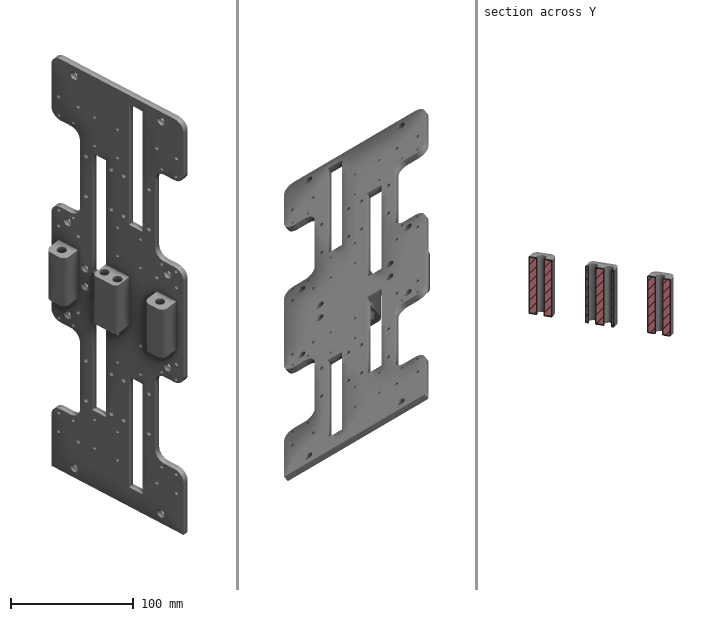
import cadquery as cq

plate_width = 140.0
plate_height = 433.0
plate_thickness = 5.0
total_depth = 22.0
plate_top = plate_height / 2
plate_bottom = -plate_top
waist_width = 79.5
middle_pad_half_height = 60.5
end_pad_inner_z = 152.0
corner_radius = 10.0

slot_width = 14.5
slot_x = 19.5
left_slot_end_z = 135.0
bridge_bottom = -20.5
bridge_top = 10.0
right_slot_inner_z = 80.0
right_slot_top_z = 207.0
right_slot_bottom_z = -196.0

large_hole = 8.0
medium_hole = 4.5
pad_hole = 3.7
fine_hole = 3.0

end_hole_x = 46.0
end_hole_z = 206.5
middle_pad_hole_x = 53.0
middle_pad_hole_z = 49.0
block_side_hole_x = 34.5
block_side_hole_z = 9.5
spine_hole_xs = [6.5, 33.5]
spine_hole_zs = [86.5, 128.5]
pad_hole_xs = [41.5, 62.5]
pad_hole_zs = [40.3, 176.2]
corner_hole_xs = [46.8, 62.0]
corner_hole_zs = [56.7, 156.8]
slot_end_hole_x = 24.2
left_slot_end_hole_zs = [144.0, 174.0]
right_slot_end_hole_zs = [41.0, 71.0]

block_height = 50.5
block_depth = total_depth - plate_thickness
side_block_x = 52.0
side_block_width = 20.5
side_block_radius = 5.5
center_block_width = 25.0
center_block_radius = 4.0
bore_diameter = 8.2
bore_y = -block_depth / 2
center_bore_x = 7.0


def mirrored(xs, zs):
    """Every (x, z) combination, repeated on both sides of x = 0 and z = 0."""
    return [(side * x, level * z) for x in xs for z in zs for side in (-1, 1) for level in (-1, 1)]


def plate_slab(width, bottom, top):
    """Slab of plate thickness, centred on x = 0, behind the front face."""
    return (
        cq.Workplane("XY")
        .box(width, plate_thickness, top - bottom, centered=(True, False, False))
        .translate((0, 0, bottom))
    )


def make_plate():
    """Three wide pads on a narrower spine, every corner rounded except the two at the bottom."""
    spine = plate_slab(waist_width, plate_bottom, plate_top)
    top_pad = plate_slab(plate_width, end_pad_inner_z, plate_top)
    middle_pad = plate_slab(plate_width, -middle_pad_half_height, middle_pad_half_height)
    bottom_pad = plate_slab(plate_width, plate_bottom, -end_pad_inner_z)
    plate = spine.union(top_pad).union(middle_pad).union(bottom_pad).clean()
    above_bottom = cq.selectors.BoxSelector(
        (-plate_width, -plate_thickness, plate_bottom + corner_radius),
        (plate_width, 2 * plate_thickness, plate_top + corner_radius),
    )
    return plate.edges("|Y").edges(above_bottom).fillet(corner_radius)


def cut_slot(plate, x, bottom, top):
    cutter = (
        cq.Workplane("XZ")
        .center(x, (bottom + top) / 2)
        .rect(slot_width, top - bottom)
        .extrude(-plate_thickness)
    )
    return plate.cut(cutter)


def drill(plate, points, diameter):
    cutter = cq.Workplane("XZ").pushPoints(points).circle(diameter / 2).extrude(-plate_thickness)
    return plate.cut(cutter)


def make_block(x, width, radius, bore_offsets):
    """Upright block with two rounded front edges and bores running its full height."""
    block = (
        cq.Workplane("XY")
        .box(width, block_depth, block_height)
        .translate((0, -block_depth / 2, 0))
        .edges("|Z and <Y")
        .fillet(radius)
    )
    bores = (
        cq.Workplane("XY")
        .pushPoints([(offset, bore_y) for offset in bore_offsets])
        .circle(bore_diameter / 2)
        .extrude(block_height / 2, both=True)
    )
    return block.cut(bores).translate((x, 0, 0))


result = make_plate()

result = cut_slot(result, -slot_x, bridge_top, left_slot_end_z)
result = cut_slot(result, -slot_x, -left_slot_end_z, bridge_bottom)
result = cut_slot(result, slot_x, right_slot_inner_z, right_slot_top_z)
result = cut_slot(result, slot_x, right_slot_bottom_z, -right_slot_inner_z)

large_points = mirrored([end_hole_x], [end_hole_z])
large_points += mirrored([middle_pad_hole_x], [middle_pad_hole_z])
large_points += mirrored([block_side_hole_x], [block_side_hole_z])
result = drill(result, large_points, large_hole)

result = drill(result, mirrored(spine_hole_xs, spine_hole_zs), medium_hole)

result = drill(result, mirrored(pad_hole_xs, pad_hole_zs), pad_hole)

result = drill(result, mirrored(corner_hole_xs, corner_hole_zs), fine_hole)

for side_column_x, levels in [
    (-slot_end_hole_x, left_slot_end_hole_zs),
    (slot_end_hole_x, right_slot_end_hole_zs),
]:
    slot_end_points = [(x, side * z) for x in (0, side_column_x) for z in levels for side in (-1, 1)]
    result = drill(result, slot_end_points, fine_hole)

for side in (-1, 1):
    result = result.union(make_block(side * side_block_x, side_block_width, side_block_radius, [0]))
center_bores = [-center_bore_x, center_bore_x]
result = result.union(make_block(0, center_block_width, center_block_radius, center_bores))